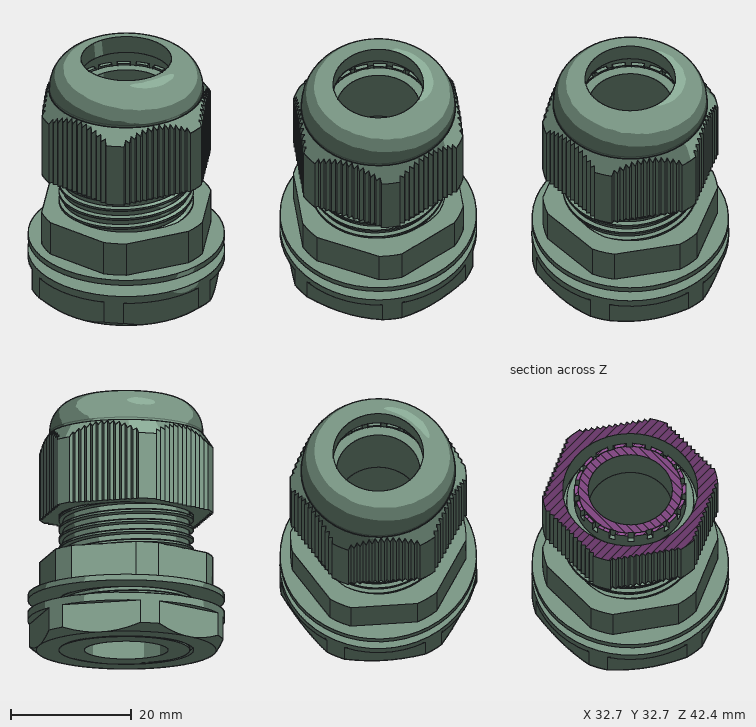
import cadquery as cq
import math


CABLE_BORE_R = 6.95
HEX_SIDES = 6
FLAT_STEP = 360 / HEX_SIDES
OVERRUN = 1.0

LOCKNUT_TOP = 6.3
GASKET_BOTTOM = 8.4
BODY_HEX_BOTTOM = 9.35
BODY_HEX_TOP = 15.3
CAP_BOTTOM = 22.7
UPPER_THREAD_TOP = 28.0
SEAL_BOTTOM = 26.0
SEAL_TOP = 36.4
CLAW_TOP = 36.7
CAP_TOP = 42.4

THREAD_CORE_R = 10.55
THREAD_CREST_R = 11.17
RIDGE_BASE = 0.85
RIDGE_TIP = 0.35
RIDGE_ROOT_SINK = 0.2

UPPER_PITCH = 1.71
UPPER_STARTS = 2
UPPER_THREAD_START = 13.44
UPPER_TURNS = 4

LOWER_PITCH = 1.411
LOWER_THREAD_START = -1.356
LOWER_TURNS = 8

BODY_HEX_APOTHEM = 13.45
BODY_HEX_CORNER_R = 14.55
CLAW_R = 9.3
CLAW_SLOTS = 18
CLAW_SLOT_WIDTH = 1.0
CLAW_SLOT_DEPTH = 7.0
SEAL_R = 8.6

CAP_APOTHEM = 13.4
CAP_CORNER_R = 14.63
CAP_CORNER_TOP = 33.8
CAP_SHOULDER_R = 12.85
CAP_SHOULDER_TOP = 36.4
DOME_R = 12.75
DOME_BOTTOM = 36.8
CAP_MOUTH_R = 7.5
DOME_ROUND_R = DOME_R - CAP_MOUTH_R
DOME_RISE = CAP_TOP - DOME_BOTTOM
CAP_MOUTH_DEPTH = 3.0
CAP_CONE_BOTTOM = 34.0
GROOVES_PER_FLAT = 12
GROOVE_PITCH = 1.0
GROOVE_DEPTH = 0.5

GASKET_R = 16.3

LOCKNUT_R = 16.35
LOCKNUT_APOTHEM = 14.9
LOCKNUT_HEX_TOP = 5.0
LOCKNUT_BOTTOM_R = 14.93
LOCKNUT_CHAMFER = 1.2


def cylinder(radius, bottom, top):
    return cq.Workplane("XY").workplane(offset=bottom).circle(radius).extrude(top - bottom)


def ring(outer_radius, inner_radius, bottom, top):
    sketch = cq.Workplane("XY").workplane(offset=bottom).circle(outer_radius).circle(inner_radius)
    return sketch.extrude(top - bottom)


def hexagon(apothem, bottom, top):
    """Hexagonal prism with two flats facing +Y and -Y."""
    across_corners = 2 * apothem / math.cos(math.pi / HEX_SIDES)
    sketch = cq.Workplane("XY").workplane(offset=bottom).polygon(HEX_SIDES, across_corners)
    return sketch.extrude(top - bottom)


def thread_ridge(lead, start, turns, start_angle=0):
    """Right-handed helical ridge whose middle passes +X at the start height."""
    path = cq.Wire.makeHelix(lead, lead * turns, THREAD_CORE_R)
    flank_slope = (RIDGE_BASE - RIDGE_TIP) / 2 / (THREAD_CREST_R - THREAD_CORE_R)
    root_half = RIDGE_BASE / 2 + flank_slope * RIDGE_ROOT_SINK
    root_r = THREAD_CORE_R - RIDGE_ROOT_SINK
    profile = cq.Workplane("XZ").polyline([
        (root_r, -root_half),
        (THREAD_CREST_R, -RIDGE_TIP / 2),
        (THREAD_CREST_R, RIDGE_TIP / 2),
        (root_r, root_half),
    ]).close()
    ridge = profile.sweep(cq.Workplane(path), isFrenet=True)
    return ridge.translate((0, 0, start)).rotate((0, 0, 0), (0, 0, 1), start_angle)


def make_gland_body():
    hex_collar = hexagon(BODY_HEX_APOTHEM, BODY_HEX_BOTTOM, BODY_HEX_TOP)
    hex_collar = hex_collar.intersect(cylinder(BODY_HEX_CORNER_R, BODY_HEX_BOTTOM, BODY_HEX_TOP))
    core = cylinder(THREAD_CORE_R, 0, UPPER_THREAD_TOP)

    lower_ridge = thread_ridge(LOWER_PITCH, LOWER_THREAD_START, LOWER_TURNS)
    lower_ridge = lower_ridge.intersect(cylinder(LOCKNUT_R, 0, BODY_HEX_TOP))
    body = core.union(lower_ridge)
    for start in range(UPPER_STARTS):
        angle = start * 360 / UPPER_STARTS
        ridge = thread_ridge(UPPER_PITCH * UPPER_STARTS, UPPER_THREAD_START, UPPER_TURNS, angle)
        body = body.union(ridge)
    body = body.union(hex_collar)

    claw = cylinder(CLAW_R, UPPER_THREAD_TOP, CLAW_TOP)
    for slot in range(CLAW_SLOTS):
        cutter = cq.Workplane("XY").box(
            CLAW_R, CLAW_SLOT_WIDTH, CLAW_SLOT_DEPTH, centered=(False, True, False)
        ).translate((SEAL_R - OVERRUN, 0, CLAW_TOP - CLAW_SLOT_DEPTH))
        claw = claw.cut(cutter.rotate((0, 0, 0), (0, 0, 1), slot * 360 / CLAW_SLOTS))
    body = body.union(claw)

    body = body.cut(cylinder(CABLE_BORE_R, -OVERRUN, CLAW_TOP + OVERRUN))
    return body.cut(cylinder(SEAL_R, SEAL_BOTTOM, CLAW_TOP + OVERRUN))


def make_seal():
    return ring(SEAL_R, CABLE_BORE_R, SEAL_BOTTOM, SEAL_TOP)


def cap_envelope():
    """Turned shape of the cap: cylinder, shoulder cone, neck, dome and the inner cavity."""
    quarter = math.sqrt(0.5)
    dome_mid = (CAP_MOUTH_R + DOME_ROUND_R * quarter, DOME_BOTTOM + DOME_RISE * quarter)
    return (
        cq.Workplane("XZ")
        .moveTo(THREAD_CREST_R, CAP_BOTTOM)
        .lineTo(CAP_CORNER_R, CAP_BOTTOM)
        .lineTo(CAP_CORNER_R, CAP_CORNER_TOP)
        .lineTo(CAP_SHOULDER_R, CAP_SHOULDER_TOP)
        .lineTo(DOME_R, CAP_SHOULDER_TOP)
        .lineTo(DOME_R, DOME_BOTTOM)
        .threePointArc(dome_mid, (CAP_MOUTH_R, CAP_TOP))
        .lineTo(CAP_MOUTH_R, CAP_TOP - CAP_MOUTH_DEPTH)
        .lineTo(THREAD_CREST_R, CAP_CONE_BOTTOM)
        .close()
        .revolve(360, (0, 0, 0), (0, 1, 0))
    )


def grip_grooves():
    """V-grooves side by side along the flat that faces -Y."""
    half_row = GROOVES_PER_FLAT * GROOVE_PITCH / 2
    outline = [(half_row, -CAP_APOTHEM - OVERRUN), (-half_row, -CAP_APOTHEM - OVERRUN)]
    for groove in range(GROOVES_PER_FLAT):
        left = groove * GROOVE_PITCH - half_row
        outline.append((left, -CAP_APOTHEM))
        outline.append((left + GROOVE_PITCH / 2, -CAP_APOTHEM + GROOVE_DEPTH))
    outline.append((half_row, -CAP_APOTHEM))
    sketch = cq.Workplane("XY").workplane(offset=CAP_BOTTOM).polyline(outline).close()
    return sketch.extrude(CAP_SHOULDER_TOP - CAP_BOTTOM)


def make_cap():
    cap = cap_envelope().intersect(hexagon(CAP_APOTHEM, CAP_BOTTOM, CAP_TOP))
    grooves = grip_grooves()
    for flat in range(HEX_SIDES):
        cap = cap.cut(grooves.rotate((0, 0, 0), (0, 0, 1), flat * FLAT_STEP))
    return cap


def make_gasket():
    return ring(GASKET_R, THREAD_CREST_R, GASKET_BOTTOM, BODY_HEX_BOTTOM)


def make_lock_nut():
    """Round nut with a conical lower edge, six flats cut below the flange."""
    nut = (
        cq.Workplane("XZ")
        .moveTo(THREAD_CREST_R, 0)
        .lineTo(LOCKNUT_BOTTOM_R, 0)
        .lineTo(LOCKNUT_R, LOCKNUT_CHAMFER)
        .lineTo(LOCKNUT_R, LOCKNUT_TOP)
        .lineTo(THREAD_CREST_R, LOCKNUT_TOP)
        .close()
        .revolve(360, (0, 0, 0), (0, 1, 0))
    )
    cutter_height = LOCKNUT_HEX_TOP + OVERRUN
    flat_cutter = cq.Workplane("XY").box(
        2 * LOCKNUT_R, LOCKNUT_R, cutter_height, centered=(True, False, False)
    ).translate((0, LOCKNUT_APOTHEM, -OVERRUN))
    for flat in range(HEX_SIDES):
        nut = nut.cut(flat_cutter.rotate((0, 0, 0), (0, 0, 1), flat * FLAT_STEP))
    return nut


gland_body = make_gland_body()
seal = make_seal()
cap = make_cap()
gasket = make_gasket()
lock_nut = make_lock_nut()

result = cq.Compound.makeCompound([
    *gland_body.solids().vals(),
    *seal.solids().vals(),
    *cap.solids().vals(),
    *gasket.solids().vals(),
    *lock_nut.solids().vals(),
])